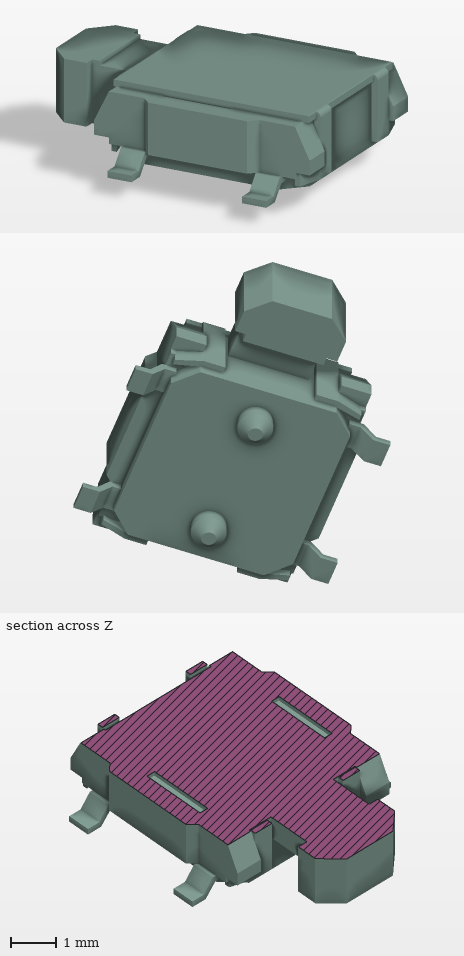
import cadquery as cq


housing_bottom = 0.4
wing_bottom = 0.55
wing_knee_z = 0.9
housing_top = 1.64
cover_top = 1.8

wing_half_x = 2.71
core_half_x = 2.34
side_half_y = 2.3
bulge_half_y = 2.5
bulge_half_x = 1.25
bulge_slope = bulge_half_y - side_half_y
wing_inner_y = 1.595
slot_x_min = -1.16
slot_x_max = 0.55
slot_outer_y = 1.995
slot_width = 0.22
slot_depth = 0.22

base_half_y = 2.11
base_chamfer = 0.51

peg_diameter = 0.8
peg_tip_diameter = 0.33
peg_half_spacing = 1.5
peg_taper_z = -0.255
peg_tip_z = -0.5

sheet = 0.16
cover_centre_x = 0.04
cover_half_y = 1.95
cover_edge_half_x = 2.46
arm_outer_half_x = 2.56
arm_inner_half_x = arm_outer_half_x - sheet
bend_radius = 0.14
arm_inner_y = 1.07
arm_outer_y = 1.59
arm_bottom = 0.2
foot_end_y = 2.2
foot_outer_lean = 0.19
foot_inner_lean = 0.16

overall_length = 7.25
button_tip_x = wing_half_x - overall_length
button_nose_half_y = 0.7
button_half_y = 1.2
button_shoulder_x = -4.06
button_neck_x = -3.495
button_back_x = -3.3
stem_half_y = 0.95
button_bottom = 0.24
button_top = 1.75
stem_bottom = 0.94

pin_width = 0.61
pin_half_spacing = 1.7
pin_end_y = 3.0
pin_bottom = -0.11
pin_embed = 0.07
pin_root_y = base_half_y - pin_embed
pin_foot_top_y = 2.66
pin_foot_bottom_y = 2.6
pin_knee_top_y = 2.38
pin_knee_bottom_y = 2.305


def block(x_range, y_range, z_range):
    """Box spanning the given (min, max) ranges."""
    sizes = [high - low for low, high in (x_range, y_range, z_range)]
    corner = (x_range[0], y_range[0], z_range[0])
    return cq.Workplane("XY").box(*sizes, centered=False).translate(corner)


def both_sides(shape, plane):
    """Shape joined with its mirror image in a plane through the origin."""
    return shape.union(shape.mirror(plane))


def make_housing():
    right_edge = [
        (core_half_x, housing_bottom),
        (core_half_x, wing_bottom),
        (wing_half_x, wing_bottom),
        (wing_half_x, wing_knee_z),
        (core_half_x, housing_top),
    ]
    left_edge = [(-x, z) for x, z in reversed(right_edge)]
    body = (
        cq.Workplane("XZ")
        .polyline(right_edge + left_edge)
        .close()
        .extrude(side_half_y, both=True)
    )

    bulge = (
        cq.Workplane("XY")
        .workplane(offset=housing_bottom)
        .moveTo(-bulge_half_x - bulge_slope, side_half_y)
        .lineTo(-bulge_half_x, bulge_half_y)
        .lineTo(bulge_half_x, bulge_half_y)
        .lineTo(bulge_half_x + bulge_slope, side_half_y)
        .close()
        .extrude(housing_top - housing_bottom)
    )
    body = body.union(both_sides(bulge, "XZ"))

    recess = block(
        (core_half_x, wing_half_x), (-wing_inner_y, wing_inner_y), (housing_bottom, housing_top)
    )
    slot = block(
        (slot_x_min, slot_x_max),
        (slot_outer_y - slot_width, slot_outer_y),
        (housing_top - slot_depth, housing_top),
    )
    return body.cut(both_sides(recess, "YZ")).cut(both_sides(slot, "XZ"))


def make_base():
    base = block((-core_half_x, core_half_x), (-base_half_y, base_half_y), (0, housing_bottom))
    return base.edges("|Z").chamfer(base_chamfer)


def make_peg(x):
    radius = peg_diameter / 2
    return (
        cq.Workplane("XZ")
        .moveTo(0, 0)
        .lineTo(radius, 0)
        .lineTo(radius, peg_taper_z)
        .lineTo(peg_tip_diameter / 2, peg_tip_z)
        .lineTo(0, peg_tip_z)
        .close()
        .revolve(360, (0, 0, 0), (0, 1, 0))
        .translate((x, 0, 0))
    )


def make_cover():
    channel = block(
        (-arm_outer_half_x, arm_outer_half_x), (-cover_half_y, cover_half_y), (arm_bottom, cover_top)
    )
    channel = channel.edges("|Y and >Z").fillet(bend_radius)
    channel = channel.cut(
        block(
            (-arm_inner_half_x, arm_inner_half_x),
            (-cover_half_y, cover_half_y),
            (arm_bottom, cover_top - sheet),
        )
    )
    plate = channel.intersect(
        block(
            (-cover_edge_half_x, cover_edge_half_x),
            (-cover_half_y, cover_half_y),
            (cover_top - sheet, cover_top),
        )
    )
    arms = channel.intersect(
        block(
            (-arm_outer_half_x, arm_outer_half_x), (arm_inner_y, arm_outer_y), (arm_bottom, cover_top)
        )
    )
    foot = (
        cq.Workplane("XY")
        .workplane(offset=arm_bottom)
        .moveTo(arm_inner_half_x, arm_outer_y)
        .lineTo(arm_outer_half_x, arm_outer_y)
        .lineTo(arm_outer_half_x - foot_outer_lean, foot_end_y)
        .lineTo(arm_inner_half_x - foot_inner_lean, foot_end_y)
        .close()
        .extrude(wing_bottom - arm_bottom)
    )
    arms = arms.union(both_sides(foot, "YZ"))
    return plate.union(both_sides(arms, "XZ")).translate((cover_centre_x, 0, 0))


def make_button():
    upper_outline = [
        (button_tip_x, button_nose_half_y),
        (button_shoulder_x, button_half_y),
        (button_neck_x, button_half_y),
        (button_neck_x, stem_half_y),
        (button_back_x, stem_half_y),
    ]
    lower_outline = [(x, -y) for x, y in reversed(upper_outline)]
    head = (
        cq.Workplane("XY")
        .workplane(offset=button_bottom)
        .polyline(upper_outline + lower_outline)
        .close()
        .extrude(button_top - button_bottom)
    )
    stem = block(
        (button_back_x, -core_half_x), (-stem_half_y, stem_half_y), (stem_bottom, housing_top)
    )
    return head.union(stem)


def make_pin(x):
    """Gull-wing terminal on the +Y side, centred at x."""
    profile = [
        (pin_root_y, housing_bottom),
        (pin_knee_top_y, housing_bottom),
        (pin_foot_top_y, pin_bottom + sheet),
        (pin_end_y, pin_bottom + sheet),
        (pin_end_y, pin_bottom),
        (pin_foot_bottom_y, pin_bottom),
        (pin_knee_bottom_y, housing_bottom - sheet),
        (pin_root_y, housing_bottom - sheet),
    ]
    pin = cq.Workplane("YZ").polyline(profile).close().extrude(pin_width / 2, both=True)
    return pin.translate((x, 0, 0))


result = make_housing().union(make_base()).union(make_cover()).union(make_button())
for side in (-1, 1):
    result = result.union(make_peg(side * peg_half_spacing))
    result = result.union(both_sides(make_pin(side * pin_half_spacing), "XZ"))